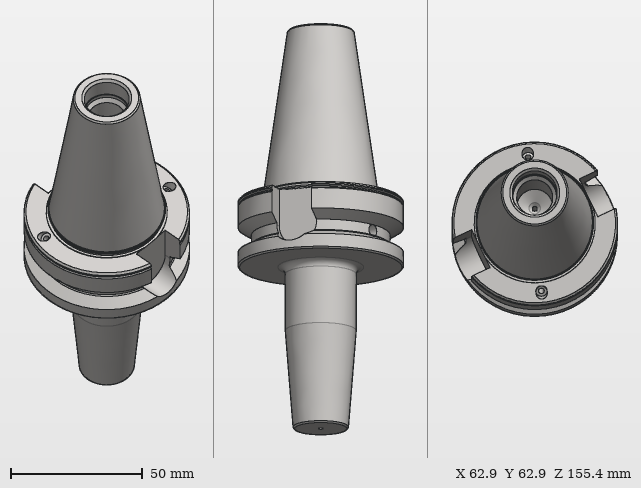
import cadquery as cq
import math

total_height = 155.4
nose_cone_top = 38.2
flange_bottom = 63.1
flange_top = 89.2
lip_height = 91.2
edge_chamfer = 0.6

nose_end_radius = 10.5
neck_radius = 13.5
neck_fillet = 2.8

flange_radius = 31.47
lower_rim_top = 68.7
groove_bottom = 71.0
groove_top = 75.5
groove_corner = 0.5
upper_rim_bottom = 78.6
groove_root_radius = 26.4
flange_bottom_chamfer = 0.6
flange_top_chamfer = 0.8
ring_groove_bottom = 86.5
ring_groove_top = 88.0
ring_groove_depth = 0.5

taper_large_radius = 21.9
taper_small_radius = 12.7
lip_radius = 22.4
lip_thickness = 0.3
collar_radius = 22.0
collar_bottom = 90.1
shank_foot_radius = 21.8
shank_foot_top = 89.7
relief_radius = 23.0
relief_depth = 0.3

slot_width = 16.2
slot_floor = 22.7
slot_bottom = 66.7

bore_mouth_radius = 9.5
bore_radius = 8.5
bore_depth = 7.8
bore_step_radius = 8.2
bore_step_depth = 9.3
thread_radius = 6.8
thread_depth = 31.1
bore_cone_end_radius = 2.2
drill_point_angle = 118.0
channel_radius = 1.0

port_angle = 70.0
port_radius = 2.2
port_position = 26.9
port_tilt = 30.0
port_seat_depth = 1.9
port_bore_radius = 1.1
cross_hole_height = (groove_bottom + groove_top) / 2
cross_hole_radius = (groove_top - groove_bottom) / 2
cutter_clearance = 7.8


def revolve_profile(points):
    """Revolve a closed outline of (radius, height) points about Z."""
    return cq.Workplane("XZ").polyline(points).close().revolve(360, (0, 0, 0), (0, 1, 0))


def make_body():
    ring_floor = flange_radius - ring_groove_depth
    lip_bottom = lip_height - lip_thickness
    relief_bottom = flange_top - relief_depth
    profile = (
        cq.Workplane("XZ")
        .moveTo(0, 0)
        .lineTo(nose_end_radius - edge_chamfer, 0)
        .lineTo(nose_end_radius, edge_chamfer)
        .lineTo(neck_radius, nose_cone_top)
        .lineTo(neck_radius, flange_bottom - neck_fillet)
        .radiusArc((neck_radius + neck_fillet, flange_bottom), neck_fillet)
        .lineTo(flange_radius - flange_bottom_chamfer, flange_bottom)
        .lineTo(flange_radius, flange_bottom + flange_bottom_chamfer)
        .lineTo(flange_radius, lower_rim_top)
        .lineTo(groove_root_radius + groove_corner, groove_bottom)
        .lineTo(groove_root_radius, groove_bottom + groove_corner)
        .lineTo(groove_root_radius, groove_top)
        .lineTo(flange_radius, upper_rim_bottom)
        .lineTo(flange_radius, ring_groove_bottom)
        .lineTo(ring_floor, ring_groove_bottom + ring_groove_depth)
        .lineTo(ring_floor, ring_groove_top - ring_groove_depth)
        .lineTo(flange_radius, ring_groove_top)
        .lineTo(flange_radius, flange_top - flange_top_chamfer)
        .lineTo(flange_radius - flange_top_chamfer, flange_top)
        .lineTo(relief_radius, flange_top)
        .lineTo(relief_radius, relief_bottom)
        .lineTo(shank_foot_radius, relief_bottom)
        .lineTo(shank_foot_radius, shank_foot_top)
        .lineTo(collar_radius, collar_bottom)
        .lineTo(collar_radius, lip_bottom)
        .lineTo(lip_radius, lip_bottom)
        .lineTo(lip_radius, lip_height)
        .lineTo(taper_large_radius, lip_height)
        .lineTo(taper_small_radius, total_height - edge_chamfer)
        .lineTo(taper_small_radius - edge_chamfer, total_height)
        .lineTo(0, total_height)
        .close()
    )
    return profile.revolve(360, (0, 0, 0), (0, 1, 0))


def make_bore():
    mouth_chamfer = bore_mouth_radius - bore_radius
    step_chamfer = bore_step_radius - thread_radius
    channel_chamfer = bore_cone_end_radius - channel_radius
    bore_floor = total_height - bore_depth
    step_floor = total_height - bore_step_depth
    thread_floor = total_height - thread_depth
    half_point = math.radians(drill_point_angle / 2)
    pocket_floor = thread_floor - (thread_radius - bore_cone_end_radius) / math.tan(half_point)
    return revolve_profile([
        (0, 0),
        (channel_radius, 0),
        (channel_radius, pocket_floor - channel_chamfer),
        (bore_cone_end_radius, pocket_floor),
        (thread_radius, thread_floor),
        (thread_radius, step_floor - step_chamfer),
        (bore_step_radius, step_floor),
        (bore_step_radius, bore_floor),
        (bore_radius, bore_floor),
        (bore_radius, total_height - mouth_chamfer),
        (bore_mouth_radius, total_height),
        (0, total_height),
    ])


def make_drive_slot():
    """Round-ended slot on the +X side, open to the flange face."""
    arc_center = slot_bottom + slot_width / 2
    slot_height = flange_top - arc_center
    length = flange_radius - slot_floor + cutter_clearance
    channel = (
        cq.Workplane("YZ", origin=(slot_floor, 0, arc_center + slot_height / 2))
        .rect(slot_width, slot_height)
        .extrude(length)
    )
    round_end = (
        cq.Workplane("YZ", origin=(slot_floor, 0, arc_center))
        .circle(slot_width / 2)
        .extrude(length)
    )
    return channel.union(round_end)


def make_coolant_port():
    """Inclined face hole with a wider seat, and the cross hole it runs into, on the +X side."""
    tilt = math.radians(port_tilt)
    inward_down = cq.Vector(-math.sin(tilt), 0, -math.cos(tilt))
    mouth = cq.Vector(port_position, 0, flange_top)
    port_length = (flange_top - cross_hole_height) / math.cos(tilt)
    meeting_radius = port_position - port_length * math.sin(tilt)

    seat = cq.Solid.makeCylinder(
        port_radius,
        port_seat_depth + port_radius,
        mouth - inward_down * port_radius,
        inward_down,
    )
    port = cq.Solid.makeCylinder(port_bore_radius, port_length, mouth, inward_down)
    cross_hole = cq.Solid.makeCylinder(
        cross_hole_radius,
        groove_root_radius - meeting_radius,
        cq.Vector(meeting_radius, 0, cross_hole_height),
        cq.Vector(1, 0, 0),
    )
    return cq.Workplane(seat).union(cq.Workplane(port)).union(cq.Workplane(cross_hole))


result = make_body().cut(make_bore())
for side in (0, 180):
    result = result.cut(make_drive_slot().rotate((0, 0, 0), (0, 0, 1), side))
    result = result.cut(make_coolant_port().rotate((0, 0, 0), (0, 0, 1), port_angle + side))